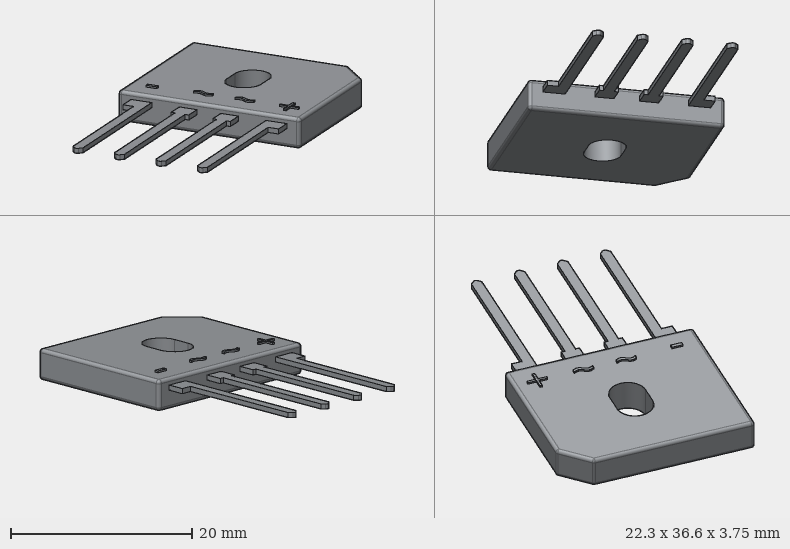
import cadquery as cq
import math

overall_length = 36.63

body_width = 22.3
body_length = 18.83
body_height = 3.55
corner_cut = 3.2
edge_radius = 0.4

slot_width = 4.2
slot_length = 6.3
slot_center_y = 9.85

lead_pitch = 5.1
lead_length = overall_length - body_length
lead_thickness = 0.6
lead_bottom_z = 2.15
lead_width = 1.25
shoulder_length = 2.05
inner_shoulder_width = 2.15
outer_shoulder_width = 2.53
tip_radius = 0.35
lead_embed = 0.75

mark_height = 0.2
mark_embed = 0.2
mark_center_y = 2.95
plus_x = 8.42
plus_size = 2.35
plus_stroke = 0.3
minus_x = -8.25
minus_center_y = 2.65
minus_length = 1.32
minus_stroke = 0.45
wave_x = -2.12
wave_length = 2.3
wave_amplitude = 0.22
wave_stroke = 0.35
wave_steps = 8


def make_body():
    """Rounded block with one corner cut at 45 degrees and a slot through it."""
    half_width = body_width / 2
    outline = [
        (-half_width, 0),
        (half_width, 0),
        (half_width, body_length - corner_cut),
        (half_width - corner_cut, body_length),
        (-half_width, body_length),
    ]
    block = cq.Workplane("XY").polyline(outline).close().extrude(body_height)
    block = block.edges().fillet(edge_radius)
    slot = (
        cq.Workplane("XY")
        .center(0, slot_center_y)
        .slot2D(slot_length, slot_width, 90)
        .extrude(body_height)
    )
    return block.cut(slot)


def make_lead(center_x, shoulder_left, shoulder_right):
    """Flat lead with a rounded point; its shoulder reaches the given distances from its axis."""
    half = lead_width / 2
    arc_end_x = tip_radius / math.sqrt(2)
    tip_length = half - tip_radius * (math.sqrt(2) - 1)
    tip_start_y = tip_length - lead_length
    arc_end_y = tip_start_y - (half - arc_end_x)
    profile = (
        cq.Workplane("XY", origin=(center_x, 0, lead_bottom_z))
        .moveTo(half, lead_embed)
        .lineTo(half, tip_start_y)
        .lineTo(arc_end_x, arc_end_y)
        .threePointArc((0, -lead_length), (-arc_end_x, arc_end_y))
        .lineTo(-half, tip_start_y)
        .lineTo(-half, lead_embed)
        .close()
    )
    shoulder = (
        cq.Workplane("XY", origin=(center_x, 0, lead_bottom_z))
        .moveTo(-shoulder_left, -shoulder_length)
        .lineTo(shoulder_right, -shoulder_length)
        .lineTo(shoulder_right, lead_embed)
        .lineTo(-shoulder_left, lead_embed)
        .close()
    )
    return profile.extrude(lead_thickness).union(shoulder.extrude(lead_thickness))


def make_bar(center_x, center_y, size_x, size_y):
    """Raised rectangular stroke rooted in the top face."""
    return (
        cq.Workplane("XY", origin=(center_x, center_y, body_height - mark_embed))
        .rect(size_x, size_y)
        .extrude(mark_embed + mark_height)
    )


def make_wave(center_x):
    """Raised one-period sine stroke: a crest on the left, a trough on the right."""
    def wave_points(offset):
        points = []
        for i in range(wave_steps + 1):
            x = wave_length * (i / wave_steps - 0.5)
            points.append((x, offset - wave_amplitude * math.sin(2 * math.pi * x / wave_length)))
        return points

    lower = wave_points(-wave_stroke / 2)
    upper = wave_points(wave_stroke / 2)
    return (
        cq.Workplane("XY", origin=(center_x, mark_center_y, body_height - mark_embed))
        .moveTo(*lower[0])
        .spline(lower[1:], includeCurrent=True)
        .lineTo(*upper[-1])
        .spline(upper[-2::-1], includeCurrent=True)
        .close()
        .extrude(mark_embed + mark_height)
    )


result = make_body()

inner_reach = inner_shoulder_width / 2
inside_reach = lead_width / 2
outside_reach = outer_shoulder_width - inside_reach
leads = [
    (-1.5, outside_reach, inside_reach),
    (-0.5, inner_reach, inner_reach),
    (0.5, inner_reach, inner_reach),
    (1.5, inside_reach, outside_reach),
]
for pitch_count, shoulder_left, shoulder_right in leads:
    result = result.union(make_lead(pitch_count * lead_pitch, shoulder_left, shoulder_right))

result = result.union(make_bar(minus_x, minus_center_y, minus_length, minus_stroke))
result = result.union(make_bar(plus_x, mark_center_y, plus_size, plus_stroke))
result = result.union(make_bar(plus_x, mark_center_y, plus_stroke, plus_size))
for center_x in (wave_x, wave_x + lead_pitch):
    result = result.union(make_wave(center_x))